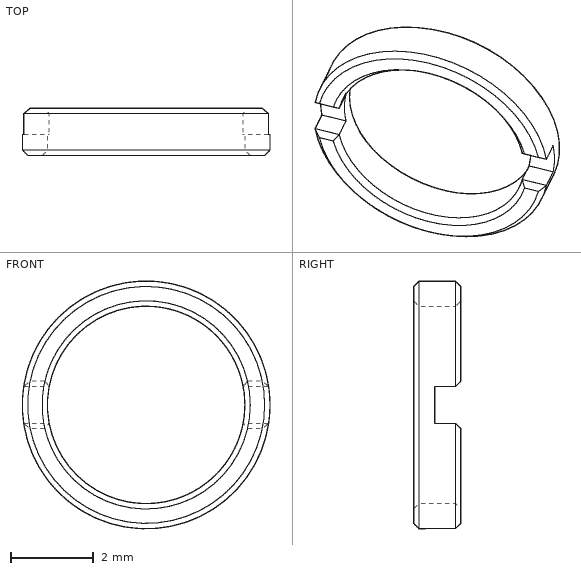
import cadquery as cq

outer_diameter = 5.97
bore_diameter = 4.75
ring_width = 1.14
chamfer_size = 0.13

slot_height = 0.885
slot_depth = 0.625

front_y = -ring_width / 2
back_y = ring_width / 2


def chamfered_ring():
    """Ring with all four rims chamfered."""
    outer_radius = outer_diameter / 2
    bore_radius = bore_diameter / 2
    profile = (
        cq.Workplane("XY")
        .moveTo(bore_radius + chamfer_size, front_y)
        .lineTo(outer_radius - chamfer_size, front_y)
        .lineTo(outer_radius, front_y + chamfer_size)
        .lineTo(outer_radius, back_y - chamfer_size)
        .lineTo(outer_radius - chamfer_size, back_y)
        .lineTo(bore_radius + chamfer_size, back_y)
        .lineTo(bore_radius, back_y - chamfer_size)
        .lineTo(bore_radius, front_y + chamfer_size)
        .close()
    )
    return profile.revolve(360, (0, 0, 0), (0, 1, 0))


def cross_slot():
    """Cutter for the slot along X, with its mouth chamfered at the back face."""
    half_height = slot_height / 2
    mouth_half_height = half_height + chamfer_size
    floor_y = back_y - slot_depth
    shoulder_y = back_y - chamfer_size
    profile = (
        cq.Workplane("YZ")
        .moveTo(floor_y, -half_height)
        .lineTo(shoulder_y, -half_height)
        .lineTo(back_y, -mouth_half_height)
        .lineTo(back_y, mouth_half_height)
        .lineTo(shoulder_y, half_height)
        .lineTo(floor_y, half_height)
        .close()
    )
    return profile.extrude(outer_diameter / 2, both=True)


result = chamfered_ring().cut(cross_slot())